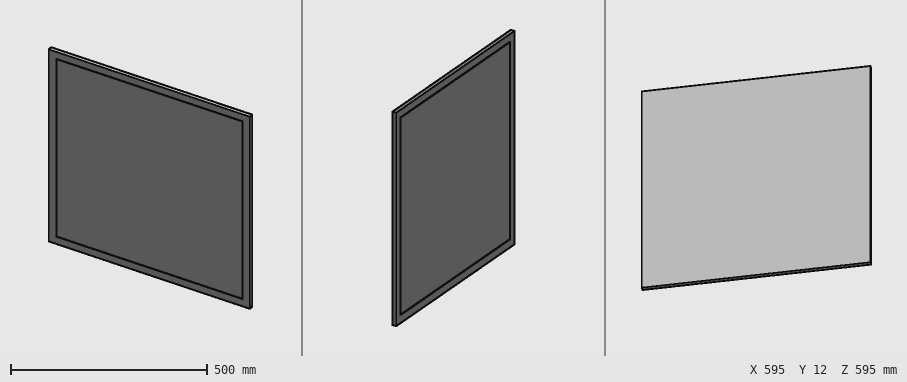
import cadquery as cq

side = 595.0
thickness = 12.0
frame_width = 22.5
recess_depth = 2.0

panel_side = side - 2 * frame_width

plate = cq.Workplane("XY").box(side, thickness, side)

recess = (
    plate.faces("<Y")
    .workplane(centerOption="CenterOfBoundBox")
    .rect(panel_side, panel_side)
    .extrude(-recess_depth, combine=False)
)

result = plate.cut(recess)